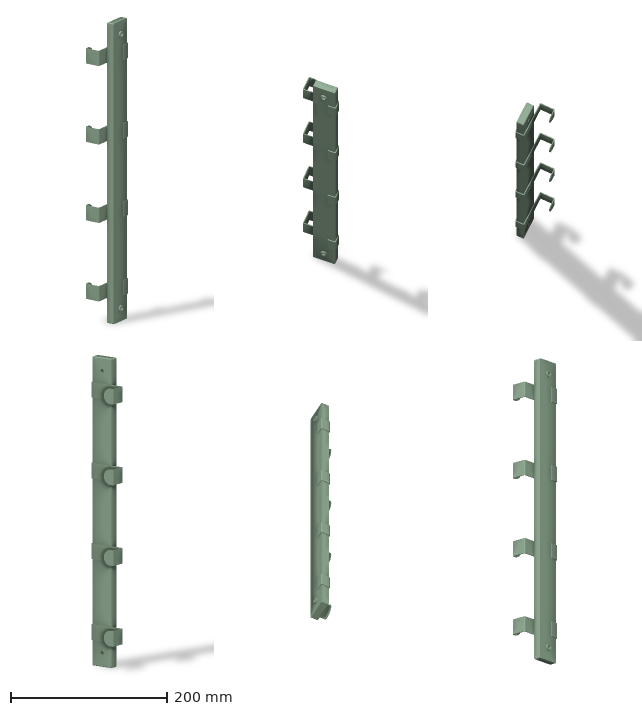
import cadquery as cq

length_x = 33.5
length_y = 50.0
length_z = 404.0

rail_width = 30.7
end_round = 1.4

sheet = 1.2
bend_radius = 1.4
hook_width = 20.0
hook_count = 4
hook_pitch = 105.5
hook_depth = 21.0
tip_length = 15.0
back_lip_length = 11.0

spacer_height = 2.22
spacer_diameter = 8.5
hole_diameter = 5.3
hole_inset = 17.8

rail_front = hook_depth
rail_back = length_x - spacer_height
rail_thickness = rail_back - rail_front

rail_high = length_y - sheet
rail_low = rail_high - rail_width
rail_middle = (rail_high + rail_low) / 2


def make_rail():
    """Solid bar whose ends are rounded on every side except the wall side."""
    rail = cq.Workplane("XY").box(rail_thickness, rail_width, length_z, centered=False)
    rail = rail.faces("<Z or >Z").edges("<X or <Y or >Y").fillet(end_round)
    return rail.translate((rail_front, rail_low, 0))


def round_corner(strip, x, y, radius):
    """Round the edge parallel to Z that passes through (x, y)."""
    edge = cq.selectors.NearestToPointSelector((x, y, 0))
    return strip.edges(edge).fillet(radius)


def make_tip_envelope():
    """Keep-region for the hook: all of it but the two corners of its half-round tip."""
    tip_radius = hook_width / 2
    around_tip = (
        cq.Workplane("YZ")
        .moveTo(0, -tip_radius)
        .lineTo(tip_length - tip_radius, -tip_radius)
        .threePointArc((tip_length, 0), (tip_length - tip_radius, tip_radius))
        .lineTo(0, tip_radius)
        .close()
        .extrude(hook_depth / 2)
    )
    beyond_tip = cq.Workplane("XY").box(length_x, length_y, hook_width, centered=(False, False, True))
    return around_tip.union(beyond_tip.translate((hook_depth / 2, 0, 0)))


def make_hook():
    """Bent strip centred on Z = 0: rounded tip, foot, front leg, fold and back lip."""
    back = rail_back + sheet
    outline = [
        (0, 0),
        (rail_front, 0),
        (rail_front, rail_high),
        (rail_back, rail_high),
        (rail_back, length_y - back_lip_length),
        (back, length_y - back_lip_length),
        (back, length_y),
        (rail_front - sheet, length_y),
        (rail_front - sheet, sheet),
        (sheet, sheet),
        (sheet, tip_length),
        (0, tip_length),
    ]
    strip = cq.Workplane("XY").polyline(outline).close().extrude(hook_width / 2, both=True)

    outer_corners = [(0, 0), (rail_front, 0), (rail_front - sheet, length_y), (back, length_y)]
    for x, y in outer_corners:
        strip = round_corner(strip, x, y, bend_radius)
    inner_corners = [(sheet, sheet), (rail_front - sheet, sheet)]
    for x, y in inner_corners:
        strip = round_corner(strip, x, y, bend_radius - sheet)

    return strip.intersect(make_tip_envelope())


def make_cylinder(x, z, diameter, length):
    """Cylinder along X, on the rail's centre line, starting at x."""
    return cq.Workplane("YZ", origin=(x, rail_middle, z)).circle(diameter / 2).extrude(length)


result = make_rail()

hook = make_hook()
first_hook = (length_z - (hook_count - 1) * hook_pitch) / 2
for index in range(hook_count):
    result = result.union(hook.translate((0, 0, first_hook + index * hook_pitch)))

for z in (hole_inset, length_z - hole_inset):
    spacer = make_cylinder(rail_back, z, spacer_diameter, spacer_height)
    screw_hole = make_cylinder(rail_front, z, hole_diameter, rail_thickness + spacer_height)
    result = result.union(spacer).cut(screw_hole)